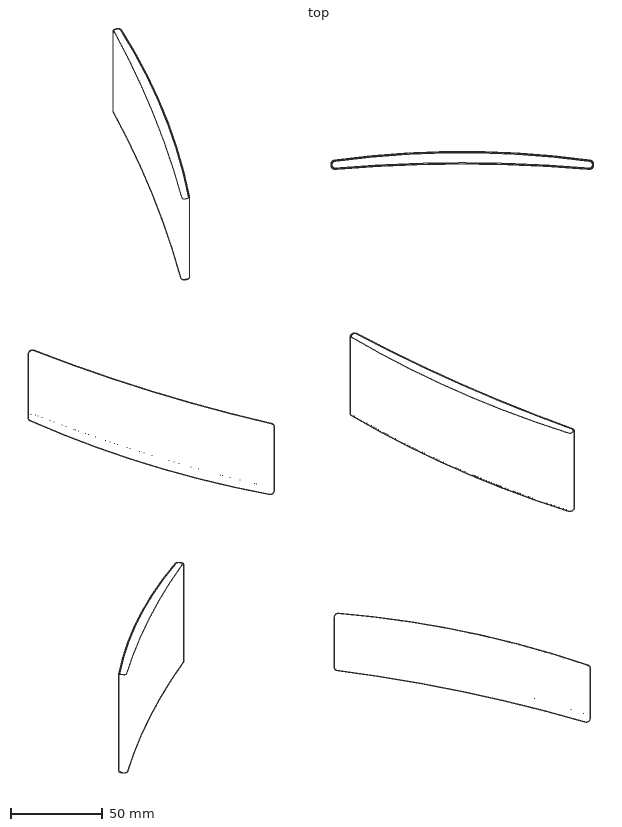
import cadquery as cq

length = 144.3
height = 60.0
end_thickness = 5.0

front_rise = 3.2
back_crown = 10.1

end_radius = 2.2
rim_radius = 0.6

wall = 0.7
floor = wall


def curved_plate():
    """Solid plate bowed toward +Y, with rounded upright ends."""
    half_length = length / 2
    return (
        cq.Workplane("XY")
        .moveTo(-half_length, 0)
        .threePointArc((0, front_rise), (half_length, 0))
        .lineTo(half_length, end_thickness)
        .threePointArc((0, back_crown), (-half_length, end_thickness))
        .close()
        .extrude(height)
        .edges("|Z")
        .fillet(end_radius)
    )


def cavity(plate):
    """Interior that follows the plate outline, one wall thickness inside it."""
    outline = plate.faces("<Z").wires().val()
    return (
        cq.Workplane("XY")
        .add(outline)
        .toPending()
        .offset2D(-wall)
        .extrude(height)
        .translate((0, 0, floor))
    )


plate = curved_plate()
rounded_plate = plate.faces("<Z or >Z").edges().fillet(rim_radius)
result = rounded_plate.cut(cavity(plate))